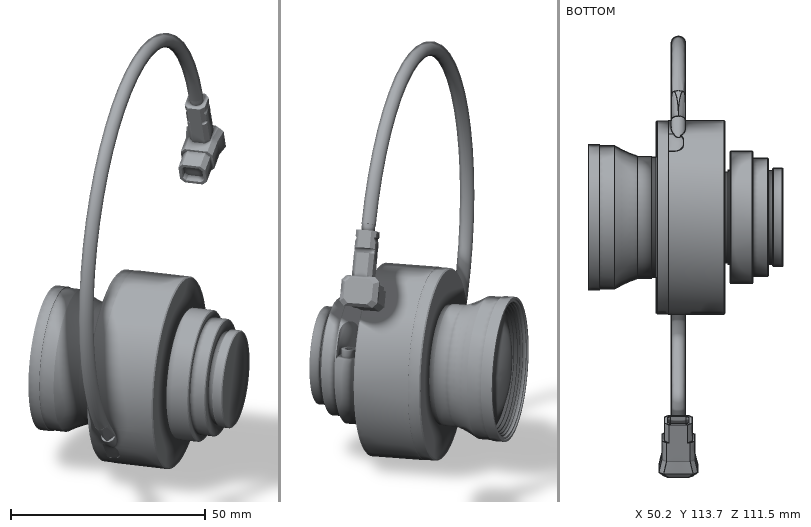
import math

import cadquery as cq

rim_end = 2.9
barrel_end = 6.7
cone_end = 12.7
waist_end = 16.3
flange_front = 17.5
flange_joint = 20.7
flange_back = 35.2
neck_step = 36.0
clamp_front = 36.5
clamp_back = 42.4
shoulder_back = 46.4
thread_front = 47.5
barrel_length = 50.2

rim_radius = 18.75
barrel_radius = 18.5
waist_radius = 31.5 / 2
cone_sag = 0.2
seat_radius = 15.5
flange_radius = 25.0
front_ring_radius = 24.9
back_neck_radius = 11.75
neck_step_radius = 12.15
clamp_radius = 17.1
shoulder_radius = 15.25
relief_radius = 12.1
thread_radius = 12.7
flange_chamfer = 0.3
ring_chamfer = 0.25

bore_steps = [(18.1, 0.4), (17.5, 1.2), (17.1, 1.8), (16.7, 2.4), (16.2, 3.2)]
lens_radius = 31.5 / 2
lens_edge_depth = 4.0
lens_rise = 3.2

screw_x = (clamp_front + clamp_back) / 2
screw_y = 13.6
screw_seat_z = 4.5
screw_pocket_radius = 2.6
screw_head_radius = 3.7 / 2
screw_head_height = 2.0
screw_socket_across_corners = 2.2
screw_socket_depth = 1.0

cable_x = 23.2
cable_radius = 3.7 / 2
cable_bend_radius = 52.2
cable_center_y = 7.4
cable_center_z = 32.4
cable_start_angle = 240.0
cable_end_angle = 23.6
flat_step_angle = 231.7
flat_length = 12.0
flat_depth = 0.55
flat_tilt = 45.0

entry_angle = 219.0
entry_width = 7.0
entry_end_x = 24.5
entry_corner = 2.5
entry_depth = 0.3

connector_tilt = 22.5
neck_radius = 1.75
neck_length = 1.75
stem_width = 5.4
stem_depth = 5.8
stem_chamfer = 1.1
stem_end = 15.5
groove_top = 3.4
groove_floor = 3.8
groove_bottom = 4.6
groove_depth = 0.4
notch_z = 7.0
notch_radius = 0.65
notch_inset = 0.65
head_back = 4.1
head_bevel = 1.25
head_bevel_rise = 0.7
head_step = -0.5
body_end = -5.7
tip_end = -10.7
head_size = (10.0, 8.0)
body_size = (8.5, 7.1)
tip_size = (7.2, 6.5)
head_chamfer = 1.2
head_z = -17.7
tip_z = -18.0
socket_wall = 0.8
socket_depth = 2.0


def arc_point(angle):
    """Point on the cable centreline, as (y, z)."""
    turn = math.radians(angle)
    return (
        cable_center_y + cable_bend_radius * math.cos(turn),
        cable_center_z + cable_bend_radius * math.sin(turn),
    )


def ring(start, end, radius):
    """Disc coaxial with the barrel between two stations along X."""
    return cq.Workplane("YZ").workplane(offset=start).circle(radius).extrude(end - start)


def make_front_barrel():
    front_outline = [
        (0, 0),
        (0, rim_radius),
        (rim_end, rim_radius),
        (rim_end, barrel_radius),
        (barrel_end, barrel_radius),
    ]
    waist_outline = [
        (waist_end, waist_radius),
        (waist_end, seat_radius),
        (flange_front, seat_radius),
        (flange_front, 0),
    ]
    barrel = (
        cq.Workplane("XY")
        .polyline(front_outline)
        .sagittaArc((cone_end, waist_radius), -cone_sag)
        .polyline(waist_outline, includeCurrent=True)
        .close()
        .revolve(360, (0, 0, 0), (1, 0, 0))
    )
    for radius, depth in bore_steps:
        barrel = barrel.cut(ring(0, depth, radius))
    barrel = barrel.cut(ring(0, lens_edge_depth, lens_radius))
    return barrel.union(make_lens())


def make_lens():
    mid_radius = lens_radius / 2
    sphere_radius = (lens_radius**2 + lens_rise**2) / (2 * lens_rise)
    pole_x = lens_edge_depth - lens_rise
    mid_x = pole_x + sphere_radius - math.sqrt(sphere_radius**2 - mid_radius**2)
    return (
        cq.Workplane("XY")
        .moveTo(pole_x, 0)
        .threePointArc((mid_x, mid_radius), (lens_edge_depth, lens_radius))
        .lineTo(barrel_end, lens_radius)
        .lineTo(barrel_end, 0)
        .close()
        .revolve(360, (0, 0, 0), (1, 0, 0))
    )


def make_flange():
    front_ring = ring(flange_front, flange_joint, front_ring_radius).faces("<X").chamfer(flange_chamfer)
    body = ring(flange_joint, flange_back, flange_radius).faces(">X").chamfer(flange_chamfer)
    return front_ring.union(body.cut(make_entry_flat()))


def make_entry_flat():
    """Cutter for the round-cornered flat on the rim of the flange."""
    length = entry_end_x - flange_joint
    cutter = (
        cq.Workplane("XY")
        .box(length, entry_width, flange_radius, centered=(False, True, False))
        .edges("|Z and >X")
        .fillet(entry_corner)
        .translate((flange_joint, 0, flange_radius - entry_depth))
    )
    return cutter.rotate((0, 0, 0), (1, 0, 0), entry_angle - 90)


def make_mount():
    clamp = ring(clamp_front, clamp_back, clamp_radius).faces("<X or >X").chamfer(ring_chamfer)
    shoulder = ring(clamp_back, shoulder_back, shoulder_radius).faces(">X").chamfer(ring_chamfer)
    thread = ring(thread_front, barrel_length, thread_radius).faces("<X or >X").chamfer(ring_chamfer)
    neck = ring(flange_back, neck_step, back_neck_radius)
    neck = neck.union(ring(neck_step, clamp_front, neck_step_radius))
    mount = neck.union(clamp).union(shoulder)
    mount = mount.union(ring(shoulder_back, thread_front, relief_radius)).union(thread)
    return mount.cut(make_screw_pocket()).union(make_screw())


def make_screw_pocket():
    seat = cq.Workplane("XY").workplane(offset=screw_seat_z).center(screw_x, screw_y)
    round_end = seat.circle(screw_pocket_radius).extrude(clamp_radius)
    open_side = seat.rect(2 * screw_pocket_radius, 2 * clamp_radius).extrude(clamp_radius)
    outside = cq.Workplane("XY").box(
        2 * barrel_length, clamp_radius, 2 * clamp_radius, centered=(True, False, True)
    )
    return round_end.union(open_side.intersect(outside.translate((0, screw_y, 0))))


def make_screw():
    head = (
        cq.Workplane("XY")
        .workplane(offset=screw_seat_z)
        .center(screw_x, screw_y)
        .circle(screw_head_radius)
        .extrude(screw_head_height)
    )
    return head.faces(">Z").workplane().polygon(6, screw_socket_across_corners).cutBlind(-screw_socket_depth)


def make_cable():
    mid_angle = (cable_start_angle + cable_end_angle) / 2
    path = (
        cq.Workplane("YZ", origin=(cable_x, 0, 0))
        .moveTo(*arc_point(cable_start_angle))
        .threePointArc(arc_point(mid_angle), arc_point(cable_end_angle))
    )
    start_y, start_z = arc_point(cable_start_angle)
    turn = math.radians(cable_start_angle)
    start_plane = cq.Plane(
        origin=(cable_x, start_y, start_z),
        xDir=(1, 0, 0),
        normal=(0, math.sin(turn), -math.cos(turn)),
    )
    cable = cq.Workplane(start_plane).circle(cable_radius).sweep(path)
    for side in (-1, 1):
        cable = cable.cut(make_cable_flat(side))
    return cable


def make_cable_flat(side):
    """Cutter for one of the two flats on the outside of the bend, near the flange."""
    step_y, step_z = arc_point(flat_step_angle)
    cutter = cq.Workplane("XY").box(
        4 * cable_radius, flat_length, cable_radius, centered=(True, False, False)
    )
    return (
        cutter.translate((0, 0, cable_radius - flat_depth))
        .rotate((0, 0, 0), (0, 1, 0), side * flat_tilt)
        .rotate((0, 0, 0), (1, 0, 0), flat_step_angle - 90)
        .translate((cable_x, step_y, step_z))
    )


def octagon(workplane, size, chamfer):
    """Rectangle with cut corners."""
    half_x = size[0] / 2
    half_y = size[1] / 2
    corners = []
    for sign_x, sign_y in ((1, 1), (-1, 1), (-1, -1), (1, -1)):
        on_side = (sign_x * half_x, sign_y * (half_y - chamfer))
        on_end = (sign_x * (half_x - chamfer), sign_y * half_y)
        corners += [on_side, on_end] if sign_x * sign_y > 0 else [on_end, on_side]
    return workplane.polyline(corners).close()


def make_stem():
    neck = cq.Workplane("XY").circle(neck_radius).extrude(-neck_length)
    collar = cq.Workplane("XY").workplane(offset=-neck_length)
    stem = octagon(collar, (stem_width, stem_depth), stem_chamfer).extrude(neck_length - stem_end)
    for side in (-1, 1):
        groove = (
            cq.Workplane("XZ")
            .polyline(
                [
                    (side * stem_width / 2, -groove_top),
                    (side * (stem_width / 2 - groove_depth), -groove_top),
                    (side * (stem_width / 2 - groove_depth), -groove_floor),
                    (side * stem_width / 2, -groove_bottom),
                ]
            )
            .close()
            .extrude(stem_depth, both=True)
        )
        notch = (
            cq.Workplane("YZ")
            .center(side * (stem_depth / 2 - notch_inset), -notch_z)
            .circle(notch_radius)
            .extrude(stem_width, both=True)
        )
        mouth = (
            cq.Workplane("XY")
            .box(2 * stem_width, 2 * notch_inset, 2 * notch_radius)
            .translate((0, side * stem_depth / 2, -notch_z))
        )
        stem = stem.cut(groove).cut(notch).cut(mouth)
    return neck.union(stem)


def make_plug():
    bevel_end = head_back - head_bevel
    end_size = (head_size[0] - 2 * head_bevel, head_size[1] - 2 * head_bevel_rise)
    back_plane = cq.Workplane("XZ", origin=(0, head_back, head_z))
    back = octagon(back_plane, end_size, head_chamfer).workplane(offset=head_bevel)
    back = octagon(back, head_size, head_chamfer).loft(ruled=True)
    head_plane = cq.Workplane("XZ", origin=(0, bevel_end, head_z))
    head = octagon(head_plane, head_size, head_chamfer).workplane(offset=bevel_end - head_step)
    head = octagon(head, body_size, head_chamfer).loft(ruled=True)
    body_plane = cq.Workplane("XZ", origin=(0, head_step, head_z))
    body = octagon(body_plane, body_size, head_chamfer).extrude(head_step - body_end)
    tip_plane = cq.Workplane("XZ", origin=(0, body_end, tip_z))
    tip = octagon(tip_plane, tip_size, head_chamfer).extrude(body_end - tip_end)
    socket_plane = cq.Workplane("XZ", origin=(0, tip_end + socket_depth, tip_z))
    socket_size = (tip_size[0] - 2 * socket_wall, tip_size[1] - 2 * socket_wall)
    socket = octagon(socket_plane, socket_size, head_chamfer - socket_wall / 2).extrude(socket_depth)
    return back.union(head).union(body).union(tip).cut(socket)


def make_connector():
    end_y, end_z = arc_point(cable_end_angle)
    connector = make_stem().union(make_plug())
    return connector.rotate((0, 0, 0), (1, 0, 0), connector_tilt).translate((cable_x, end_y, end_z))


result = make_front_barrel().union(make_flange()).union(make_mount())
result = result.union(make_cable()).union(make_connector())